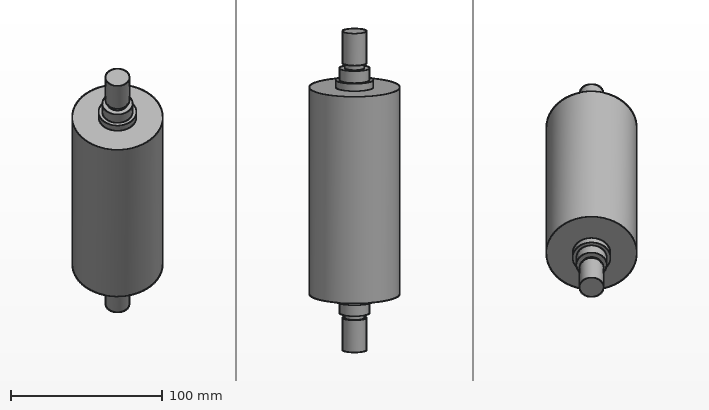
import cadquery as cq

total_length = 216.0
body_diameter = 60.0

collar_diameter = 25.0
collar_length = 5.0
shoulder_diameter = 20.0
shoulder_length = 8.0
groove_diameter = 13.0
groove_length = 3.2
journal_diameter = 16.0
journal_length = 21.8

shaft_end_length = collar_length + shoulder_length + groove_length + journal_length
body_length = total_length - 2 * shaft_end_length


def make_shaft_end():
    """Stepped shaft end rising from the top face of the body."""
    steps = [
        (collar_diameter, collar_length),
        (shoulder_diameter, shoulder_length),
        (groove_diameter, groove_length),
        (journal_diameter, journal_length),
    ]
    shaft_end = cq.Workplane("XY")
    step_base = body_length / 2
    for diameter, length in steps:
        step = cq.Workplane("XY").workplane(offset=step_base).circle(diameter / 2).extrude(length)
        shaft_end = shaft_end.add(step)
        step_base += length
    return shaft_end.combine()


body = cq.Workplane("XY").cylinder(body_length, body_diameter / 2)
top_end = make_shaft_end()
bottom_end = top_end.mirror("XY")

result = body.union(top_end).union(bottom_end)